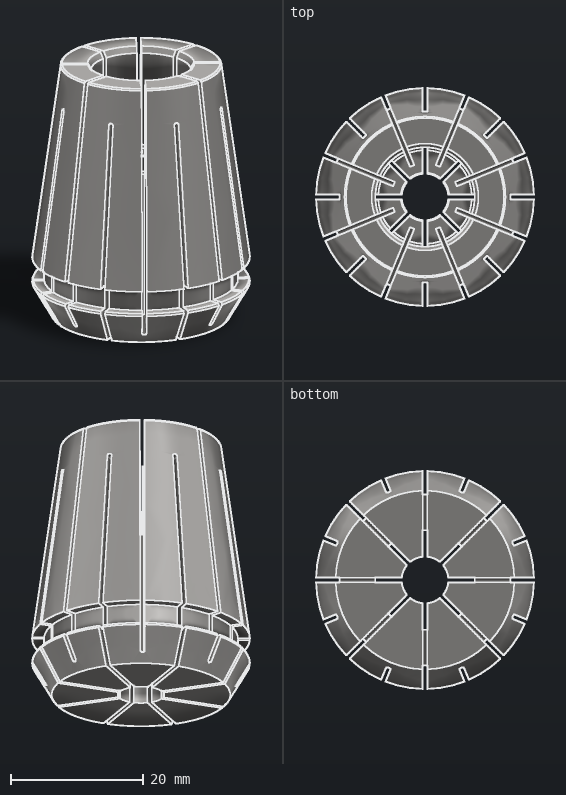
import cadquery as cq
import math

LENGTH = 40.0
MAX_RADIUS = 16.5

HEAD_RIM_HEIGHT = 5.15
HEAD_TOP = 5.5
HEAD_TOP_RADIUS = 16.3
HEAD_ANGLE = 30.0

GROOVE_RADIUS = 14.7
TAPER_START = 9.1
TAPER_ANGLE = 8.0
TOP_EDGE_CHAMFER = 0.25

BORE_RADIUS = 3.5
BORE_EDGE_CHAMFER = 0.15
RELIEF_RADIUS = 7.5
RELIEF_FLOOR = 24.0
RELIEF_FLOOR_CHAMFER = 0.45
MOUTH_RADIUS = 8.1
MOUTH_DEPTH = 0.95

SLITS_PER_END = 8
SLIT_WIDTH = 0.7
LOWER_SLIT_TOP = 34.5
UPPER_SLIT_BOTTOM = 1.5
UPPER_SLIT_INNER_RADIUS = 5.1
CLEARANCE = 2.0


def revolved(profile):
    """Spin a closed (radius, height) outline about the Z axis."""
    return cq.Workplane("XZ").polyline(profile).close().revolve(360, (0, 0, 0), (0, 1, 0))


def outer_body():
    head_bottom_radius = MAX_RADIUS - HEAD_RIM_HEIGHT * math.tan(math.radians(HEAD_ANGLE))
    taper_slope = math.tan(math.radians(TAPER_ANGLE))
    chamfer_height = LENGTH - TOP_EDGE_CHAMFER
    chamfer_radius = MAX_RADIUS - (chamfer_height - TAPER_START) * taper_slope
    return revolved([
        (0, 0),
        (head_bottom_radius, 0),
        (MAX_RADIUS, HEAD_RIM_HEIGHT),
        (HEAD_TOP_RADIUS, HEAD_TOP),
        (GROOVE_RADIUS, HEAD_TOP),
        (GROOVE_RADIUS, TAPER_START),
        (MAX_RADIUS, TAPER_START),
        (chamfer_radius, chamfer_height),
        (chamfer_radius - TOP_EDGE_CHAMFER, LENGTH),
        (0, LENGTH),
    ])


def stepped_bore():
    return revolved([
        (0, 0),
        (BORE_RADIUS, 0),
        (BORE_RADIUS, RELIEF_FLOOR - BORE_EDGE_CHAMFER),
        (BORE_RADIUS + BORE_EDGE_CHAMFER, RELIEF_FLOOR),
        (RELIEF_RADIUS - RELIEF_FLOOR_CHAMFER, RELIEF_FLOOR),
        (RELIEF_RADIUS, RELIEF_FLOOR + RELIEF_FLOOR_CHAMFER),
        (RELIEF_RADIUS, LENGTH - MOUTH_DEPTH),
        (MOUTH_RADIUS, LENGTH),
        (0, LENGTH),
    ])


def slit(round_end, open_end, inner_radius):
    """Radial slit along +X with a half-round end at one height, running out past the other."""
    half_width = SLIT_WIDTH / 2
    toward_open = math.copysign(1, open_end - round_end)
    arc_height = round_end + toward_open * half_width
    return (
        cq.Workplane("YZ", origin=(inner_radius, 0, 0))
        .moveTo(-half_width, open_end)
        .lineTo(-half_width, arc_height)
        .threePointArc((0, round_end), (half_width, arc_height))
        .lineTo(half_width, open_end)
        .close()
        .extrude(MAX_RADIUS + CLEARANCE - inner_radius)
    )


def cut_slits(body, cutter, first_angle):
    for index in range(SLITS_PER_END):
        angle = first_angle + index * 360 / SLITS_PER_END
        body = body.cut(cutter.rotate((0, 0, 0), (0, 0, 1), angle))
    return body


lower_slit = slit(LOWER_SLIT_TOP, -CLEARANCE, 0)
upper_slit = slit(UPPER_SLIT_BOTTOM, LENGTH + CLEARANCE, UPPER_SLIT_INNER_RADIUS)

collet = outer_body().cut(stepped_bore())
collet = cut_slits(collet, lower_slit, 0)
result = cut_slits(collet, upper_slit, 180 / SLITS_PER_END)